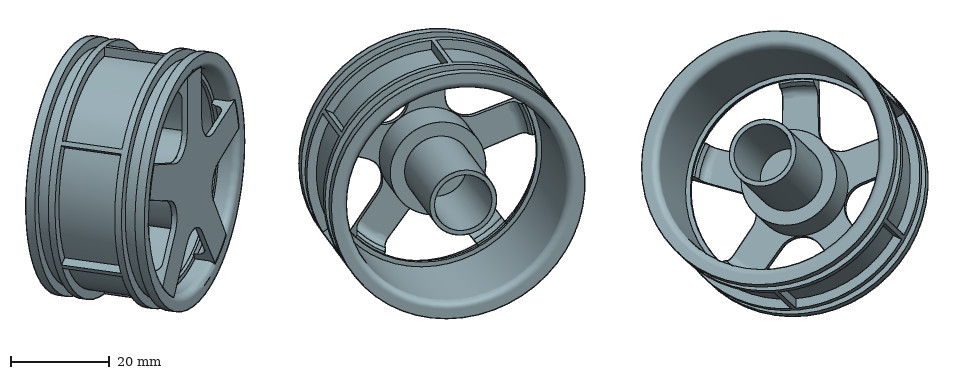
import cadquery as cq
import math


rim_width = 25.95
rim_radius = 53 / 2
groove_radius = 49.0 / 2
flange_width = 2.0
groove_width = 2.95
rib_width = 1.5
bore_radius = 46.0 / 2
lip_radius = 1.5

bar_count = 6
bar_width = 1.0

web_radius = 44.0 / 2
web_front = 21.0
web_width = 0.75
seat_radius = 23.85

spoke_count = 5
spoke_tip_width = 7.2
spoke_lip_front = web_front + web_width
spoke_front = 24.8
dish_mouth_radius = 21.5
dish_floor_radius = 19.05
dish_fillet = 1.9
dish_wall_radius = dish_floor_radius + dish_fillet
gap_round_radius = 10.0 / 2

hub_radius = 20.0 / 2
hub_front = 16.0
tube_radius = 14.0 / 2
tube_bore_radius = 12.0 / 2
tube_overhang = 4.05

cut_margin = 0.55
quarter_arc_middle = math.sqrt(0.5)

channel_start = flange_width + groove_width + rib_width
channel_width = rim_width - 2 * channel_start


def disc(radius, start, end):
    """Solid cylinder about the X axis between two X positions."""
    return cq.Workplane("YZ", origin=(start, 0, 0)).circle(radius).extrude(end - start)


def ring(outer, inner, start, width):
    """Hollow cylinder about the X axis."""
    return disc(outer, start, start + width).cut(disc(inner, start, start + width))


def revolved(profile):
    """Turn an outline of (x, radius) once around the X axis."""
    return profile.close().revolve(360, (0, 0, 0), (1, 0, 0))


def rim():
    """Rim barrel with grooves, ribs and rounded lips at both mouths of its bore."""
    round_offset = lip_radius * (1 - quarter_arc_middle)
    lip_edge_radius = bore_radius + lip_radius
    lip_mid_radius = bore_radius + round_offset
    body = revolved(
        cq.Workplane("XY")
        .moveTo(0, rim_radius)
        .lineTo(0, lip_edge_radius)
        .threePointArc((round_offset, lip_mid_radius), (lip_radius, bore_radius))
        .lineTo(rim_width - lip_radius, bore_radius)
        .threePointArc((rim_width - round_offset, lip_mid_radius), (rim_width, lip_edge_radius))
        .lineTo(rim_width, rim_radius)
    )
    for start in (flange_width, rim_width - flange_width - groove_width):
        body = body.cut(ring(rim_radius + cut_margin, groove_radius, start, groove_width))
    return body.cut(channel())


def channel():
    """Outer channel, interrupted by the cross bars."""
    cutter = ring(rim_radius + cut_margin, groove_radius, channel_start, channel_width)
    for i in range(bar_count):
        bar = (
            cq.Workplane("XY")
            .box(channel_width, bar_width, 2 * rim_radius, centered=(False, True, False))
            .translate((channel_start, 0, 0))
            .rotate((0, 0, 0), (1, 0, 0), i * 360 / bar_count)
        )
        cutter = cutter.cut(bar)
    return cutter


def dished_wheel_center():
    """Dished disc cut into spokes, with the web ring in front of it."""
    fillet_mid = dish_fillet * quarter_arc_middle
    dish = revolved(
        cq.Workplane("XY")
        .moveTo(spoke_front, 0)
        .lineTo(spoke_front, dish_floor_radius)
        .threePointArc(
            (spoke_front - dish_fillet + fillet_mid, dish_floor_radius + fillet_mid),
            (spoke_front - dish_fillet, dish_wall_radius),
        )
        .lineTo(spoke_lip_front, dish_mouth_radius)
        .lineTo(spoke_lip_front, seat_radius)
        .lineTo(rim_width, seat_radius)
        .lineTo(rim_width, 0)
    )
    return dish.cut(spoke_gaps()).union(ring(seat_radius, web_radius, web_front, web_width))


def spoke_gaps():
    """Openings between spokes: a round next to the hub, then straight sides tangent to it."""
    half_pitch = math.pi / spoke_count
    round_center = hub_radius + gap_round_radius
    tip_angle = half_pitch - math.asin(spoke_tip_width / 2 / seat_radius)
    tip_x = seat_radius * math.sin(tip_angle)
    tip_y = seat_radius * math.cos(tip_angle)
    tip_distance = math.hypot(tip_x, tip_y - round_center)
    tip_direction = math.atan2(tip_y - round_center, tip_x)
    tangent_direction = tip_direction - math.acos(gap_round_radius / tip_distance)
    side_x = gap_round_radius * math.cos(tangent_direction)
    side_y = round_center + gap_round_radius * math.sin(tangent_direction)
    gap = (
        cq.Workplane("YZ")
        .moveTo(tip_x, tip_y)
        .lineTo(side_x, side_y)
        .threePointArc((0, hub_radius), (-side_x, side_y))
        .lineTo(-tip_x, tip_y)
        .threePointArc((0, seat_radius), (tip_x, tip_y))
        .close()
        .extrude(rim_width)
    )
    gaps = cq.Workplane("YZ")
    for i in range(spoke_count):
        gaps = gaps.add(gap.rotate((0, 0, 0), (1, 0, 0), (i + 0.5) * 360 / spoke_count))
    return gaps.combine()


hub = disc(hub_radius, hub_front, rim_width)
tube = ring(tube_radius, tube_bore_radius, -tube_overhang, tube_overhang + hub_front)

result = rim().union(dished_wheel_center()).union(hub).union(tube)